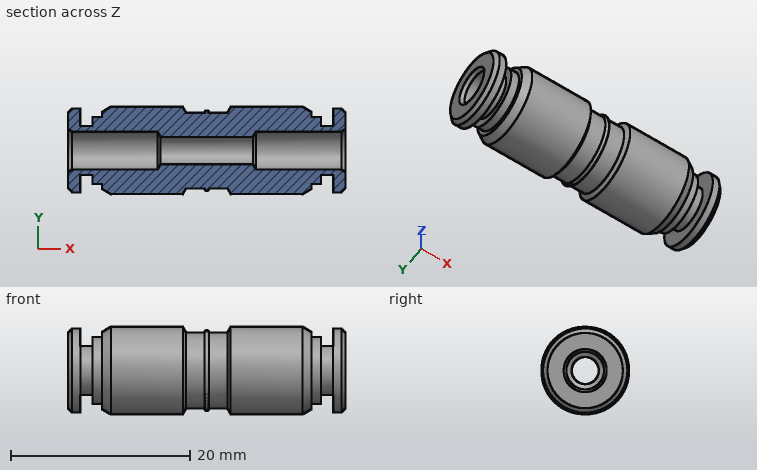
import cadquery as cq


length = 31.0
body_diameter = 9.8

flange_diameter = 9.4
flange_thickness = 1.4
flange_chamfer = 0.5
neck_diameter = 5.5
neck_length = 1.35

collar_diameter = 7.5
collar_length = 1.05
shoulder_diameter = 8.6
shoulder_length = 1.0

waist_diameter = 8.5
waist_length = 4.6
waist_chamfer_length = 0.375
ring_radius = 0.25

bore_diameter = 3.0
mouth_diameter = 4.8
socket_diameter = 4.2
mouth_depth = 0.5
socket_depth = 10.0
stop_taper_length = 0.35

half_length = length / 2

waist_end = waist_length / 2
body_start = waist_end + waist_chamfer_length
flange_inner = half_length - flange_thickness
neck_start = flange_inner - neck_length
collar_start = neck_start - collar_length
shoulder_start = collar_start - shoulder_length


def revolve_half(profile):
    """Revolve a closed (x, radius) profile about the X axis."""
    return profile.close().revolve(360, (0, 0, 0), (1, 0, 0))


def make_outer_half():
    """Solid outside shape of the +X half, without the bore."""
    profile = (
        cq.Workplane("XY")
        .lineTo(0, waist_diameter / 2)
        .lineTo(waist_end, waist_diameter / 2)
        .lineTo(body_start, body_diameter / 2)
        .lineTo(shoulder_start, body_diameter / 2)
        .lineTo(collar_start, shoulder_diameter / 2)
        .lineTo(collar_start, collar_diameter / 2)
        .lineTo(neck_start, collar_diameter / 2)
        .lineTo(neck_start, neck_diameter / 2)
        .lineTo(flange_inner, neck_diameter / 2)
        .lineTo(flange_inner, flange_diameter / 2)
        .lineTo(half_length - flange_chamfer, flange_diameter / 2)
        .lineTo(half_length, flange_diameter / 2 - flange_chamfer)
        .lineTo(half_length, 0)
    )
    return revolve_half(profile)


def make_bore_half():
    """Cutter for the +X half of the bore: tube socket, tapered stop and through hole."""
    stop = half_length - socket_depth
    profile = (
        cq.Workplane("XY")
        .lineTo(0, bore_diameter / 2)
        .lineTo(stop - stop_taper_length, bore_diameter / 2)
        .lineTo(stop, socket_diameter / 2)
        .lineTo(half_length - mouth_depth, socket_diameter / 2)
        .lineTo(half_length, mouth_diameter / 2)
        .lineTo(half_length, 0)
    )
    return revolve_half(profile)


def make_ring():
    """Half-round ring standing proud of the waist at mid length."""
    return cq.Workplane(
        obj=cq.Solid.makeTorus(waist_diameter / 2, ring_radius, cq.Vector(0, 0, 0), cq.Vector(1, 0, 0))
    )


half = make_outer_half().cut(make_bore_half())
result = half.union(half.mirror("YZ")).union(make_ring())